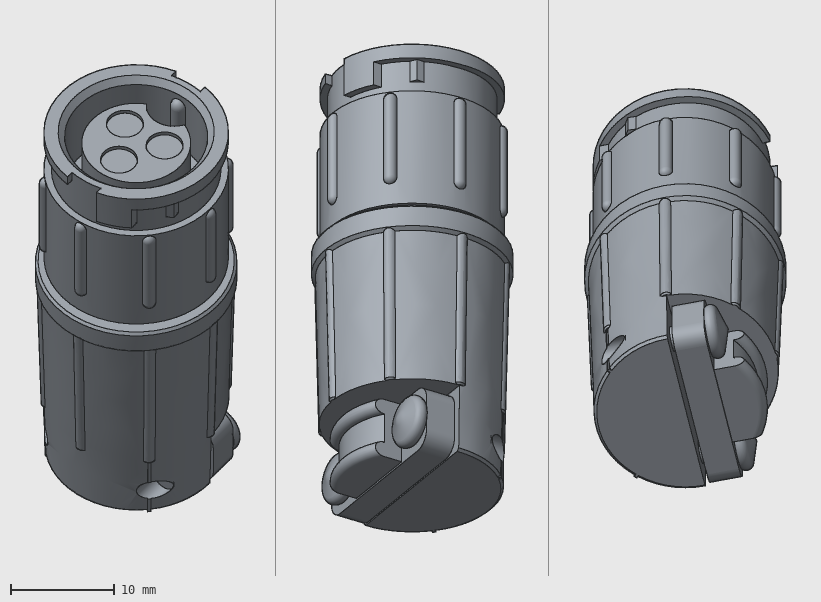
import cadquery as cq
import math

total_height = 44.75
neck_bottom = 39.58
sleeve_bottom = 27.1
collar_top = 26.55
collar_bottom = 24.15
grip_top = 23.8
half_shell_top = 7.5
shell_bottom = 0.35

neck_radius = 8.25
sleeve_radius = 8.95
flange_radius = sleeve_radius
groove_radius = 7.85
collar_radius = 19.55 / 2
grip_top_radius = 9.4
grip_bottom_radius = 8.85
edge_chamfer = 0.25

flange_thickness = 1.5
ramp_end_thickness = 1.07
notch_half_width = 1.75
stop_block_end = 5.0
stop_block_depth = 4.07
detent_depth = 3.8
detent_half_width = 0.65
detent_tip_radius = 8.65
detent_angle = -28.0

bore_radius = 6.95
bore_depth = 8.05
bore_chamfer_radius = 7.55
bore_chamfer_depth = 0.65
insert_radius = 5.3
insert_drop = 1.55
insert_notch_radius = 2.7
insert_notch_bottom = 3.45
contact_radius = 1.8
contact_circle_radius = 2.78
contact_depth = 0.4
contact_angles = (30, 150, 270)
key_radius = 0.85
key_drop = 1.35

rib_count = 8
rib_radius = 0.65
sleeve_rib_reach = 9.5
sleeve_rib_top = 38.75
sleeve_rib_bottom = 30.05
grip_rib_top_reach = 9.7
grip_rib_bottom_reach = 9.3
grip_rib_chamfer = 0.2
seam_strip_width = 0.3
seam_strip_height = 0.05
seam_strip_angles = (-45, -135)

shell_cut_y = 0.1
screw_x = 6.6
screw_z = 3.4
shank_radius = 1.2
shank_embedding = 0.45
screw_hole_radius = shank_radius
screw_hole_floor_y = -4.25
clamp_y_start = 0.6
clamp_y_end = 3.75
clamp_half_length = 8.9
clamp_height = 2 * screw_z
clamp_corner_radius = 1.65
head_radius = 2.65
head_base_radius = 2.45
head_bulge_height = 0.63
head_rim_radius = 2.2
head_rim_height = 1.15
head_height = 1.93
saddle_half_length = 4.25
saddle_bead_radius = 7.95
saddle_web_radius = 7.1
saddle_half_height = 3.2
bead_width = 1.6


def disc(radius, z_bottom, z_top):
    """Cylinder about Z between two heights."""
    return cq.Workplane("XY").workplane(offset=z_bottom).circle(radius).extrude(z_top - z_bottom)


def block(x_range, y_range, z_range):
    """Axis-aligned box given by its limits."""
    sizes = [high - low for low, high in (x_range, y_range, z_range)]
    corner = (x_range[0], y_range[0], z_range[0])
    return cq.Workplane("XY").box(*sizes, centered=False).translate(corner)


def half_turn(shape):
    return shape.rotate((0, 0, 0), (0, 0, 1), 180)


def make_barrel():
    """Revolved outer form, without ribs, from the tapered grip to the rim."""
    profile = [
        (0, shell_bottom),
        (grip_bottom_radius - edge_chamfer, shell_bottom),
        (grip_bottom_radius, shell_bottom + edge_chamfer),
        (grip_top_radius, grip_top),
        (collar_radius, collar_bottom),
        (collar_radius, collar_top - edge_chamfer),
        (collar_radius - edge_chamfer, collar_top),
        (groove_radius, collar_top),
        (groove_radius, sleeve_bottom),
        (sleeve_radius, sleeve_bottom),
        (sleeve_radius, total_height),
        (0, total_height),
    ]
    return cq.Workplane("XZ").polyline(profile).close().revolve(360, (0, 0, 0), (0, 1, 0))


def make_rim_relief():
    """Space to clear around the neck, leaving flange, ramps and stop blocks."""
    outside = 2 * flange_radius
    flange_bottom = total_height - flange_thickness
    ramp_end = total_height - ramp_end_thickness
    relief = disc(outside, neck_bottom, total_height).cut(disc(neck_radius, neck_bottom, total_height))

    flange = (
        cq.Workplane("YZ", origin=(-notch_half_width, 0, 0))
        .polyline([
            (outside, total_height),
            (outside, flange_bottom),
            (0, flange_bottom),
            (-flange_radius, ramp_end),
            (-outside, ramp_end),
            (-outside, total_height),
        ])
        .close()
        .extrude(notch_half_width - outside)
    )
    stop_block = block(
        (-stop_block_end, -notch_half_width),
        (0, outside),
        (total_height - stop_block_depth, total_height),
    )
    kept = flange.union(stop_block)
    return relief.cut(kept).cut(half_turn(kept))


def make_detent():
    """Triangular ridge on the neck, rising into the flange above it."""
    return (
        cq.Workplane("XY")
        .workplane(offset=total_height - detent_depth)
        .polyline([
            (bore_chamfer_radius, -detent_half_width),
            (neck_radius, -detent_half_width),
            (detent_tip_radius, 0),
            (neck_radius, detent_half_width),
            (bore_chamfer_radius, detent_half_width),
        ])
        .close()
        .extrude(detent_depth - flange_thickness / 2)
        .rotate((0, 0, 0), (0, 0, 1), detent_angle)
    )


def shape_bayonet(body):
    """Carve the neck and rim, then add two detents half a turn apart."""
    detent = make_detent()
    body = body.cut(make_rim_relief())
    return body.union(detent).union(half_turn(detent))


def make_sleeve_rib():
    """Round-ended bar half sunk into the sleeve on the +X side."""
    axis_x = sleeve_rib_reach - rib_radius
    rib = disc(rib_radius, sleeve_rib_bottom, sleeve_rib_top)
    for end_z in (sleeve_rib_bottom, sleeve_rib_top):
        rib = rib.union(cq.Workplane("XY").sphere(rib_radius).translate((0, 0, end_z)))
    return rib.translate((axis_x, 0, 0))


def make_grip_rib():
    """Round bar on the +X side that leans with the taper of the grip."""
    lean = grip_rib_top_reach - grip_rib_bottom_reach
    return (
        cq.Workplane("XY")
        .workplane(offset=half_shell_top)
        .center(grip_rib_bottom_reach - rib_radius, 0)
        .circle(rib_radius)
        .workplane(offset=collar_bottom - half_shell_top)
        .center(lean, 0)
        .circle(rib_radius)
        .loft()
        .faces("<Z")
        .chamfer(grip_rib_chamfer)
    )


def add_ribs(body):
    sleeve_rib = make_sleeve_rib()
    grip_rib = make_grip_rib()
    for index in range(rib_count):
        angle = index * 360 / rib_count
        body = body.union(sleeve_rib.rotate((0, 0, 0), (0, 0, 1), angle))
        body = body.union(grip_rib.rotate((0, 0, 0), (0, 0, 1), angle))
    return body


def add_seam_strips(body):
    """Narrow raised strips that carry the two diagonal front ribs down to the end."""
    half_width = seam_strip_width / 2
    taper = (grip_top_radius - grip_bottom_radius) / (grip_top - shell_bottom - edge_chamfer)
    bottom_reach = grip_bottom_radius + seam_strip_height
    top_reach = bottom_reach + taper * (half_shell_top - shell_bottom)
    strip = (
        cq.Workplane("XZ", origin=(0, half_width, 0))
        .polyline([
            (groove_radius, shell_bottom),
            (bottom_reach, shell_bottom),
            (top_reach, half_shell_top),
            (groove_radius, half_shell_top),
        ])
        .close()
        .extrude(seam_strip_width)
    )
    for angle in seam_strip_angles:
        body = body.union(strip.rotate((0, 0, 0), (0, 0, 1), angle))
    return body


def cut_socket(body):
    """Chamfered bore that leaves a notched contact insert and a key pin standing in it."""
    bore_floor = total_height - bore_depth
    insert_top = total_height - insert_drop
    bore = disc(bore_radius, bore_floor, total_height)
    chamfer = (
        cq.Workplane("XY")
        .workplane(offset=total_height)
        .circle(bore_chamfer_radius)
        .workplane(offset=-bore_chamfer_depth)
        .circle(bore_radius)
        .loft()
    )

    notch_y = insert_notch_bottom + insert_notch_radius
    insert = disc(insert_radius, bore_floor, insert_top)
    insert = insert.cut(disc(insert_notch_radius, bore_floor, insert_top).translate((0, notch_y, 0)))
    for angle in contact_angles:
        contact_x = contact_circle_radius * math.cos(math.radians(angle))
        contact_y = contact_circle_radius * math.sin(math.radians(angle))
        contact = disc(contact_radius, insert_top - contact_depth, insert_top)
        insert = insert.cut(contact.translate((contact_x, contact_y, 0)))

    key_shoulder = total_height - key_drop - key_radius
    key_bottom = bore_floor - key_radius
    key = (
        cq.Workplane("XZ")
        .moveTo(0, key_bottom)
        .lineTo(key_radius, key_bottom)
        .lineTo(key_radius, key_shoulder)
        .radiusArc((0, key_shoulder + key_radius), -key_radius)
        .close()
        .revolve(360, (0, 0, 0), (0, 1, 0))
    )
    body = body.cut(bore.cut(insert)).cut(chamfer)
    return body.union(key.translate((0, bore_radius, 0)))


def cut_half_shell(body):
    """Remove the +Y half at the lower end and sink the two screw holes into the -Y half."""
    reach = collar_radius
    body = body.cut(block((-reach, reach), (shell_cut_y, reach), (0, half_shell_top)))
    holes = (
        cq.Workplane("XZ", origin=(0, screw_hole_floor_y, screw_z))
        .pushPoints([(-screw_x, 0), (screw_x, 0)])
        .circle(screw_hole_radius)
        .extrude(reach + screw_hole_floor_y)
    )
    return body.cut(holes)


def make_saddle_layer(radius, z_bottom, z_top):
    """Arched slab about Z that reaches from the clamp bar towards +Y."""
    saddle_zone = block((-saddle_half_length, saddle_half_length), (clamp_y_start, radius), (z_bottom, z_top))
    return disc(radius, z_bottom, z_top).intersect(saddle_zone)


def make_saddle():
    """Arched cable saddle with a rounded bead along its top and bottom edges."""
    saddle = make_saddle_layer(
        saddle_web_radius, screw_z - saddle_half_height, screw_z + saddle_half_height
    )
    bead_radius = bead_width / 2
    bead_offset = saddle_half_height - bead_radius
    for bead_z in (screw_z - bead_offset, screw_z + bead_offset):
        bead = make_saddle_layer(saddle_bead_radius, bead_z - bead_radius, bead_z + bead_radius)
        rounded = (
            cq.Workplane("XZ")
            .moveTo(0, bead_z - bead_radius)
            .lineTo(saddle_bead_radius - bead_radius, bead_z - bead_radius)
            .threePointArc(
                (saddle_bead_radius, bead_z), (saddle_bead_radius - bead_radius, bead_z + bead_radius)
            )
            .lineTo(0, bead_z + bead_radius)
            .close()
            .revolve(360, (0, 0, 0), (0, 1, 0))
        )
        saddle = saddle.union(bead.intersect(rounded))
    return saddle


def make_screw():
    """Cone-topped screw along +Y whose shank joins the clamp to the half shell."""
    shank_start = shell_cut_y - shank_embedding
    crown_end = clamp_y_end + head_height
    profile = (
        cq.Workplane("XY")
        .moveTo(0, shank_start)
        .lineTo(shank_radius, shank_start)
        .lineTo(shank_radius, clamp_y_end)
        .lineTo(head_base_radius, clamp_y_end)
        .threePointArc(
            (head_radius, clamp_y_end + head_bulge_height),
            (head_rim_radius, clamp_y_end + head_rim_height),
        )
        .lineTo(0, crown_end)
        .close()
    )
    return profile.revolve(360, (0, 0, 0), (0, 1, 0))


def make_clamp():
    clamp = block(
        (-clamp_half_length, clamp_half_length), (clamp_y_start, clamp_y_end), (0, clamp_height)
    )
    clamp = clamp.edges("|Y").fillet(clamp_corner_radius).union(make_saddle())
    screw = make_screw()
    for side in (-1, 1):
        clamp = clamp.union(screw.translate((side * screw_x, 0, screw_z)))
    return clamp


body = shape_bayonet(make_barrel())
body = add_seam_strips(add_ribs(body))
body = cut_half_shell(cut_socket(body))
result = body.union(make_clamp())